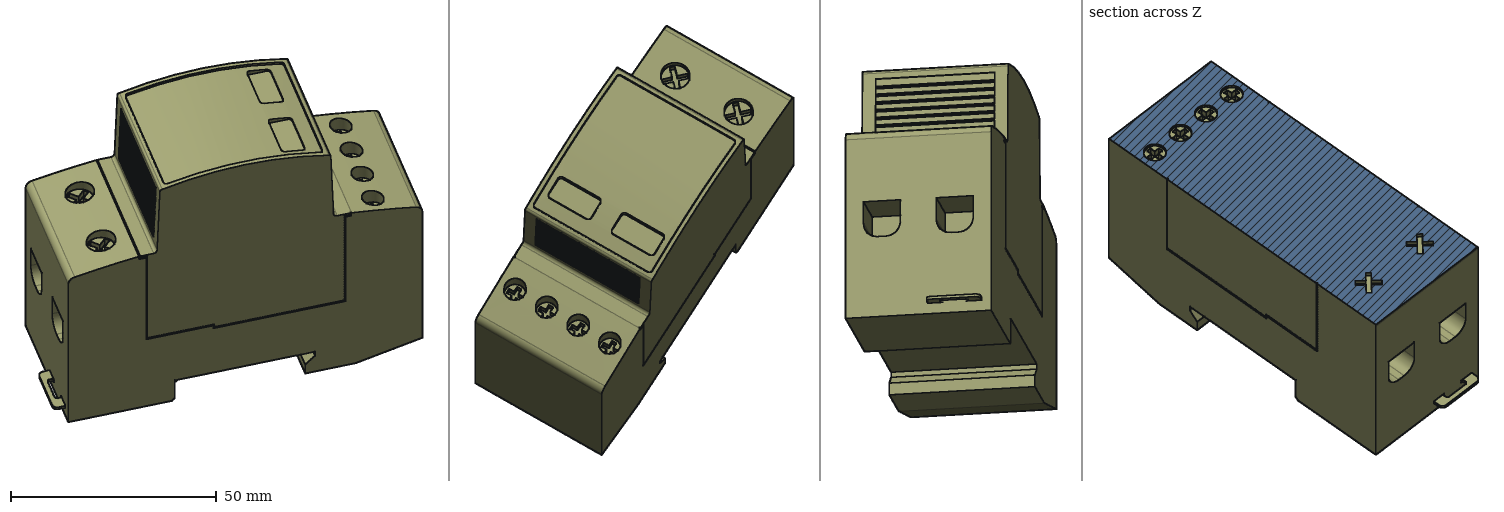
import cadquery as cq
import math


WIDTH = 36.0
BASE_HALF_LENGTH = 45.0
WING_RADIUS = 234.0
WING_INNER_Y = 26.95
LIP_Z = 50.25
WING_EDGE_FILLET = 2.0
REAR_SLOPE_END_Y = 28.0
REAR_SLOPE_HEIGHT = 3.9

RAIL_Z = 6.6
RAIL_REAR_Y = 17.7
RAIL_HOOK_Y = 15.2
RAIL_HOOK_LOW_Z = 3.0
RAIL_HOOK_HIGH_Z = 5.3
RAIL_FRONT_Y = -17.9
RAIL_FRONT_CHAMFER = 0.8

TOP_Z = 73.51
DOME_RADIUS = 88.0
TOWER_TOP_HALF = 21.7
TOWER_FOOT_HALF = 22.45
TOWER_TOP_FILLET = 0.75
TOWER_FOOT_FILLET = 0.9

SEAM_GAP = 0.25
SEAM_DEPTH = 0.3
SEAM_LIP_Y = WING_INNER_Y
SEAM_LIP_Z = 49.3
SEAM_REAR_Y = 25.5
SEAM_FRONT_Y = 25.15
SEAM_FLOOR_Z = 21.3
SEAM_STEP_Y = -8.1
SEAM_STEP_RISE = 0.9

RECESS_MARGIN = 1.2
RECESS_HALF_LENGTH = 20.15
RECESS_CORNER = 0.8
RECESS_DEPTH = 0.6
POLE_PITCH = 18.0
WINDOW_WIDTH = 12.1
WINDOW_LENGTH = 6.0
WINDOW_Y = 13.2
WINDOW_FLOOR_Z = 71.0
WINDOW_CORNER = 0.9

VENT_COUNT = 8
VENT_PITCH = 2.0
VENT_WIDTH = 29.4
VENT_BOTTOM_Z = 52.55
VENT_HEIGHT = 1.65
VENT_TOP_EXTRA = 0.5
VENT_DEPTH = 0.3
VENT_FLOOR_RISE = 0.3

FRONT_SCREW_Y = -33.95
REAR_SCREW_Y = 33.75
FRONT_SCREW_DIAMETER = 7.1
FRONT_CROSS_LENGTH = 6.4
FRONT_CROSS_WIDTH = 1.3
FRONT_CROSS_ANGLE = 45.0
REAR_SCREW_DIAMETER = 5.4
REAR_CROSS_LENGTH = 4.1
REAR_CROSS_WIDTH = 1.2
REAR_CROSS_ANGLE = 0.0
REAR_SCREW_PITCH = POLE_PITCH / 2
REAR_SCREW_COUNT = 4
FRONT_HEAD_Z = 47.1
REAR_HEAD_Z = 45.5
CROSS_DEPTH = 2.0

ENTRY_SIZE = 9.1
ENTRY_BOTTOM_Z = 20.5
ENTRY_CORNER = 3.6
ENTRY_DEPTH = 12.0

CLIP_X = POLE_PITCH / 2
CLIP_WIDTH = 13.3
NOSE_TIP_Y = -14.9
NOSE_TIP_Z = 5.4
NOSE_TOP_Z = 6.0
NOSE_LOW_Z = 3.25
TAB_REACH = 3.0
TAB_BOTTOM_Z = 2.7
TAB_THICKNESS = 0.7
TAB_CORNER = 1.3
TAB_SLOT_WIDTH = 7.0
TAB_SLOT_LENGTH = 1.6
TAB_SLOT_CORNER = 0.6

OVERLAP = 1.0


def arc_z(y, crown_z, radius):
    """Height at y of an arc centred on Y = 0 with its highest point at crown_z."""
    return crown_z - radius + math.sqrt(radius**2 - y**2)


WING_CROWN_Z = LIP_Z - arc_z(WING_INNER_Y, 0, WING_RADIUS)


def wing_z(y):
    return arc_z(y, WING_CROWN_Z, WING_RADIUS)


def dome_z(y, depth=0.0):
    return arc_z(y, TOP_Z - depth, DOME_RADIUS - depth)


def across(profile, width=WIDTH, x_centre=0.0):
    """Extrude a closed (Y, Z) profile along X, centred on x_centre."""
    return profile.extrude(width / 2, both=True).translate((x_centre, 0, 0))


def rounded_block(width, length, bottom, top, corner, x, y):
    """Upright block with rounded vertical edges, centred on (x, y)."""
    block = cq.Workplane("XY").box(width, length, top - bottom, centered=(True, True, False))
    return block.edges("|Z").fillet(corner).translate((x, y, bottom))


def spread(count, pitch):
    """Evenly spaced positions, centred on zero."""
    return [(i - (count - 1) / 2) * pitch for i in range(count)]


def make_base():
    end = BASE_HALF_LENGTH
    middle = (end + WING_INNER_Y) / 2
    profile = (
        cq.Workplane("YZ")
        .moveTo(-end, 0)
        .lineTo(-end, wing_z(end))
        .threePointArc((-middle, wing_z(middle)), (-WING_INNER_Y, LIP_Z))
        .lineTo(WING_INNER_Y, LIP_Z)
        .threePointArc((middle, wing_z(middle)), (end, wing_z(end)))
        .lineTo(end, REAR_SLOPE_HEIGHT)
        .lineTo(REAR_SLOPE_END_Y, 0)
        .lineTo(RAIL_HOOK_Y, 0)
        .lineTo(RAIL_HOOK_Y, RAIL_HOOK_LOW_Z)
        .lineTo(RAIL_REAR_Y, RAIL_HOOK_HIGH_Z)
        .lineTo(RAIL_REAR_Y, RAIL_Z)
        .lineTo(RAIL_FRONT_Y, RAIL_Z)
        .lineTo(RAIL_FRONT_Y, RAIL_FRONT_CHAMFER)
        .lineTo(RAIL_FRONT_Y - RAIL_FRONT_CHAMFER, 0)
        .close()
    )
    base = across(profile)
    for y in (-end, end):
        corner = cq.selectors.NearestToPointSelector((0, y, wing_z(end)))
        base = base.edges(corner).fillet(WING_EDGE_FILLET)
    return base


def make_tower():
    eave_z = dome_z(TOWER_TOP_HALF)
    profile = (
        cq.Workplane("YZ")
        .moveTo(-TOWER_FOOT_HALF, LIP_Z - OVERLAP)
        .lineTo(-TOWER_FOOT_HALF, LIP_Z)
        .lineTo(-TOWER_TOP_HALF, eave_z)
        .threePointArc((0, TOP_Z), (TOWER_TOP_HALF, eave_z))
        .lineTo(TOWER_FOOT_HALF, LIP_Z)
        .lineTo(TOWER_FOOT_HALF, LIP_Z - OVERLAP)
        .close()
    )
    return across(profile)


def make_housing():
    housing = make_base().union(make_tower())
    eave_z = dome_z(TOWER_TOP_HALF)
    for side in (-1, 1):
        eave = cq.selectors.NearestToPointSelector((0, side * TOWER_TOP_HALF, eave_z))
        housing = housing.edges(eave).fillet(TOWER_TOP_FILLET)
        foot = cq.selectors.NearestToPointSelector((0, side * TOWER_FOOT_HALF, LIP_Z))
        housing = housing.edges(foot).fillet(TOWER_FOOT_FILLET)
    return housing


def seam_outline(inset):
    """Closed (Y, Z) outline of the cartridge pocket, drawn in by inset."""
    top = LIP_Z + OVERLAP
    lip_y = SEAM_LIP_Y - inset
    lip_z = SEAM_LIP_Z + inset
    floor_z = SEAM_FLOOR_Z + inset
    return cq.Workplane("YZ").polyline([
        (-lip_y, top),
        (lip_y, top),
        (lip_y, lip_z),
        (SEAM_REAR_Y - inset, lip_z),
        (SEAM_REAR_Y - inset, floor_z),
        (SEAM_STEP_Y + inset, floor_z),
        (SEAM_STEP_Y + inset, floor_z + SEAM_STEP_RISE),
        (inset - SEAM_FRONT_Y, floor_z + SEAM_STEP_RISE),
        (inset - SEAM_FRONT_Y, lip_z),
        (-lip_y, lip_z),
    ]).close()


def make_seam():
    """Groove on both side faces, joined by a slit across the top of the -Y lip."""
    ring = across(seam_outline(0)).cut(across(seam_outline(SEAM_GAP)))
    core = cq.Workplane("XY").box(WIDTH - 2 * SEAM_DEPTH, 4 * BASE_HALF_LENGTH, 4 * TOP_Z)
    slit = cq.Workplane("XY").box(WIDTH, SEAM_GAP, 2 * SEAM_DEPTH)
    slit = slit.translate((0, -SEAM_LIP_Y + SEAM_GAP / 2, LIP_Z))
    return ring.cut(core).union(slit)


def make_face_recess():
    """Rounded recess whose floor follows the dome, with a flat-floored window per pole."""
    half = TOWER_TOP_HALF
    edge_z = dome_z(half, RECESS_DEPTH)
    above_floor = across(
        cq.Workplane("YZ")
        .moveTo(-half, edge_z)
        .threePointArc((0, TOP_Z - RECESS_DEPTH), (half, edge_z))
        .lineTo(half, TOP_Z + OVERLAP)
        .lineTo(-half, TOP_Z + OVERLAP)
        .close()
    )
    recess = rounded_block(
        WIDTH - 2 * RECESS_MARGIN, 2 * RECESS_HALF_LENGTH,
        edge_z - OVERLAP, TOP_Z + OVERLAP, RECESS_CORNER, 0, 0,
    ).intersect(above_floor)
    for x in spread(2, POLE_PITCH):
        window = rounded_block(
            WINDOW_WIDTH, WINDOW_LENGTH, WINDOW_FLOOR_Z, TOP_Z, WINDOW_CORNER, x, WINDOW_Y,
        )
        recess = recess.union(window)
    return recess


def wall_y(z):
    """Half length of the tapered cartridge at height z."""
    rise = (z - LIP_Z) / (dome_z(TOWER_TOP_HALF) - LIP_Z)
    return TOWER_FOOT_HALF + (TOWER_TOP_HALF - TOWER_FOOT_HALF) * rise


def make_vents():
    """Stack of slots in the -Y end wall, each with a floor that climbs inwards."""
    vents = cq.Workplane("YZ")
    for i in range(VENT_COUNT):
        low = VENT_BOTTOM_Z + i * VENT_PITCH
        high = low + VENT_HEIGHT
        if i == VENT_COUNT - 1:
            high += VENT_TOP_EXTRA
        slot = cq.Workplane("YZ").polyline([
            (-wall_y(low) - OVERLAP, low),
            (-wall_y(low), low),
            (-wall_y(low) + VENT_DEPTH, low + VENT_FLOOR_RISE),
            (-wall_y(high) + VENT_DEPTH, high),
            (-wall_y(high) - OVERLAP, high),
        ]).close()
        vents = vents.add(across(slot, VENT_WIDTH))
    return vents.combine()


def make_screw_hole(x, y, head_z, diameter, cross_length, cross_width, cross_angle):
    """Round shaft down to a screw head that carries a cross recess."""
    shaft = cq.Workplane("XY").circle(diameter / 2).extrude(LIP_Z - head_z)
    for angle in (cross_angle, cross_angle + 90):
        arm = cq.Workplane("XY").box(cross_length, cross_width, 2 * CROSS_DEPTH)
        shaft = shaft.union(arm.rotate((0, 0, 0), (0, 0, 1), angle))
    return shaft.translate((x, y, head_z))


def make_cable_entry(x):
    """Square entry with its two lower corners rounded."""
    entry = cq.Workplane("XY").box(ENTRY_SIZE, ENTRY_DEPTH, ENTRY_SIZE, centered=(True, False, False))
    entry = entry.edges("|Y and <Z").fillet(ENTRY_CORNER)
    return entry.translate((x, -BASE_HALF_LENGTH, ENTRY_BOTTOM_Z))


def make_clip_nose():
    nose = cq.Workplane("YZ").polyline([
        (RAIL_FRONT_Y - OVERLAP, NOSE_TOP_Z),
        (RAIL_FRONT_Y, NOSE_TOP_Z),
        (NOSE_TIP_Y, NOSE_TIP_Z),
        (RAIL_FRONT_Y, NOSE_LOW_Z),
        (RAIL_FRONT_Y - OVERLAP, NOSE_LOW_Z),
    ]).close()
    return across(nose, CLIP_WIDTH, CLIP_X)


def make_release_tab():
    top = TAB_BOTTOM_Z + TAB_THICKNESS
    tab = cq.Workplane("XY").box(
        CLIP_WIDTH, TAB_REACH + OVERLAP, TAB_THICKNESS, centered=(True, False, False)
    )
    tab = tab.edges("|Z and <Y").fillet(TAB_CORNER)
    tab = tab.translate((CLIP_X, -BASE_HALF_LENGTH - TAB_REACH, TAB_BOTTOM_Z))
    slot_y = -BASE_HALF_LENGTH - TAB_SLOT_LENGTH / 2
    slot = rounded_block(
        TAB_SLOT_WIDTH, TAB_SLOT_LENGTH, TAB_BOTTOM_Z, top, TAB_SLOT_CORNER, CLIP_X, slot_y,
    )
    return tab.cut(slot)


result = make_housing()
result = result.cut(make_seam())
result = result.cut(make_face_recess())

front_vents = make_vents()
result = result.cut(front_vents)
result = result.cut(front_vents.mirror("XZ"))

for screw_x in spread(2, POLE_PITCH):
    result = result.cut(make_cable_entry(screw_x))
    result = result.cut(make_screw_hole(
        screw_x, FRONT_SCREW_Y, FRONT_HEAD_Z, FRONT_SCREW_DIAMETER,
        FRONT_CROSS_LENGTH, FRONT_CROSS_WIDTH, FRONT_CROSS_ANGLE,
    ))
for screw_x in spread(REAR_SCREW_COUNT, REAR_SCREW_PITCH):
    result = result.cut(make_screw_hole(
        screw_x, REAR_SCREW_Y, REAR_HEAD_Z, REAR_SCREW_DIAMETER,
        REAR_CROSS_LENGTH, REAR_CROSS_WIDTH, REAR_CROSS_ANGLE,
    ))

result = result.union(make_clip_nose()).union(make_release_tab())